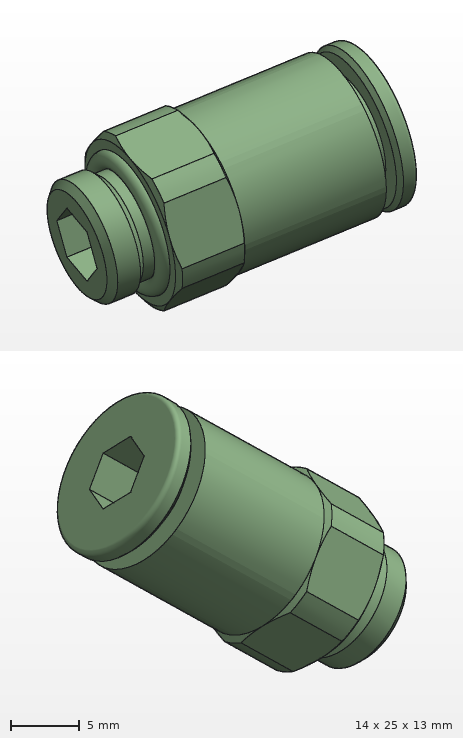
import cadquery as cq
import math

THREAD_CHAMFER_TOP = 0.58
RELIEF_TAPER_START = 2.5
RELIEF_START = 3.08
SEAL_START = 3.75
NUT_START = 4.5
NUT_END = 10.35
BODY_END = 22.3
CAP_START = 23.38
LENGTH = 25

THREAD_RADIUS = 4.88
RELIEF_RADIUS = 4.3
SEAL_RADIUS = 5.7
SEAL_SECTION_RADIUS = 0.72
BODY_RADIUS = 6.5
BODY_FLAT_WIDTH = 0.52
NUT_CORNER_RADIUS = 7
NUT_CHAMFER_LENGTH = 0.3
NECK_RADIUS = 4.6
CAP_CHAMFER = 0.38
CAP_ROUND = 0.35
KEY_ACROSS_FLATS = 5


def plane_at(y):
    """Sketch plane facing +Y, with its local X along the global Z axis."""
    return cq.Workplane(cq.Plane(origin=(0, y, 0), xDir=(0, 0, 1), normal=(0, 1, 0)))


def disc(start, end, radius):
    return plane_at(start).circle(radius).extrude(end - start)


def hex_prism(start, end, across_flats, turn=0):
    """Hexagonal bar along Y; without a turn its corners lie on the X axis."""
    corner_diameter = across_flats / math.cos(math.pi / 6)
    prism = plane_at(start).polygon(6, corner_diameter).extrude(end - start)
    return prism.rotate((0, 0, 0), (0, 1, 0), 90 + turn)


def threaded_end():
    """Chamfered spigot with a thread relief groove behind it."""
    profile = [
        (0, 0),
        (RELIEF_RADIUS, 0),
        (THREAD_RADIUS, THREAD_CHAMFER_TOP),
        (THREAD_RADIUS, RELIEF_TAPER_START),
        (RELIEF_RADIUS, RELIEF_START),
        (RELIEF_RADIUS, NUT_START),
        (0, NUT_START),
    ]
    return cq.Workplane("XY").polyline(profile).close().revolve(360, (0, 0, 0), (0, 1, 0))


def seal_ring():
    """O-ring of round section, partly sunk into the nut face and the relief groove."""
    section_center = (SEAL_RADIUS - SEAL_SECTION_RADIUS, SEAL_START + SEAL_SECTION_RADIUS)
    section = cq.Workplane("XY").center(*section_center).circle(SEAL_SECTION_RADIUS)
    axis_x = -section_center[0]
    return section.revolve(360, (axis_x, 0, 0), (axis_x, 1, 0))


def nut():
    """Hexagon with turned corners, chamfered down to the body radius at both ends."""
    corner_chamfer = NUT_CORNER_RADIUS - BODY_RADIUS
    blank = disc(NUT_START, NUT_END, NUT_CORNER_RADIUS)
    for end_face in ("<Y", ">Y"):
        blank = blank.faces(end_face).chamfer(NUT_CHAMFER_LENGTH, corner_chamfer)
    return blank.intersect(hex_prism(NUT_START, NUT_END, 2 * BODY_RADIUS))


def body():
    """Cylinder with six narrow flats in line with the nut corners."""
    flat_distance = math.sqrt(BODY_RADIUS**2 - (BODY_FLAT_WIDTH / 2) ** 2)
    flats = hex_prism(NUT_END, BODY_END, 2 * flat_distance, turn=30)
    return disc(NUT_END, BODY_END, BODY_RADIUS).intersect(flats)


def release_cap():
    """Push collar on a narrower neck."""
    collar = disc(CAP_START, LENGTH, BODY_RADIUS)
    collar = collar.faces("<Y").edges().chamfer(CAP_CHAMFER)
    collar = collar.faces(">Y").edges().fillet(CAP_ROUND)
    return collar.union(disc(BODY_END, CAP_START, NECK_RADIUS))


solid = threaded_end().union(seal_ring()).union(nut()).union(body()).union(release_cap())

result = solid.cut(hex_prism(0, LENGTH, KEY_ACROSS_FLATS))